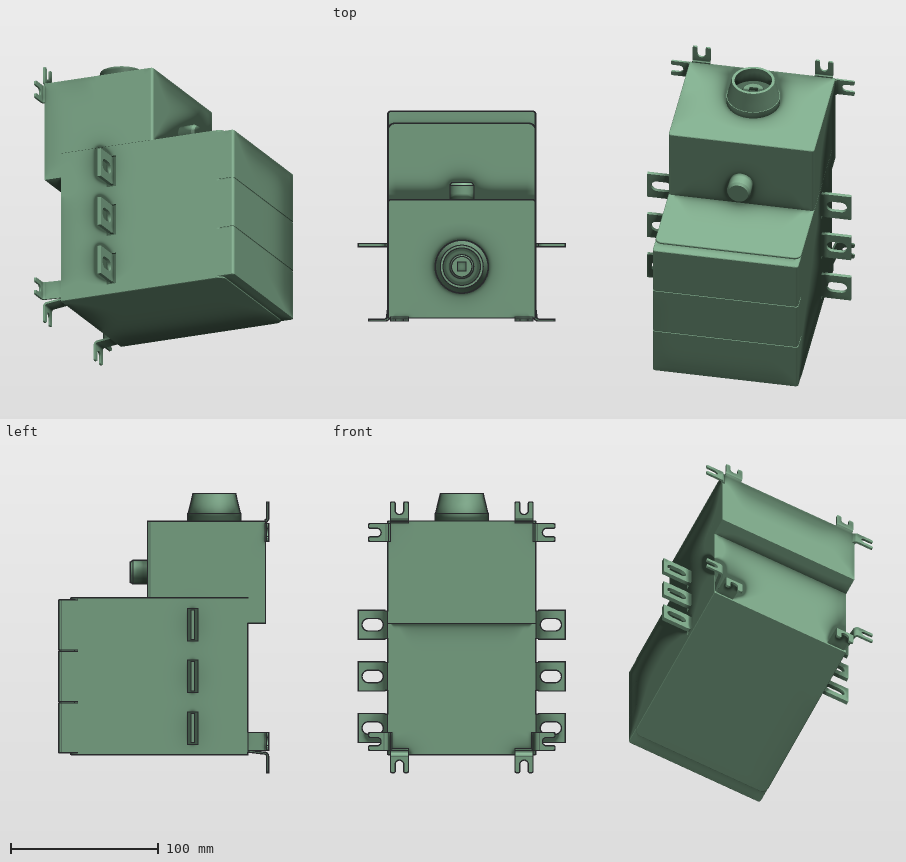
import cadquery as cq
import math

TOTAL_WIDTH = 140.0
TOTAL_DEPTH = 142.0
TOTAL_HEIGHT = 188.8

HALF_WIDTH = 50.0
BODY_BOTTOM = 12.0
BODY_TOP = 118.4
BODY_FRONT = 14.2
BODY_REAR = 133.9
BODY_CORNER_RADIUS = 4.7
UPPER_TOP = 170.3
UPPER_FRONT = 2.0
UPPER_REAR = 82.1
STEP_BOTTOM = 101.0
CORNER_RADIUS = 1.9
EDGE_BREAK = 0.4

POLE_PITCH = 35.0
MIDDLE_POLE_Z = 65.1
POLE_CENTERS = [MIDDLE_POLE_Z + i * POLE_PITCH for i in (-1, 0, 1)]
GROOVE_WIDTH = 1.0
GROOVE_DEPTH = 0.5
COVER_HEIGHT = 3 * POLE_PITCH - GROOVE_WIDTH
COVER_FRONT = 127.8

TERMINAL_Y = 51.4
TERMINAL_THICKNESS = 2.5
TERMINAL_HEIGHT = 19.8
NECK_HEIGHT = 18.9
NECK_LENGTH = 1.7
TERMINAL_SLOT_LENGTH = 14.2
TERMINAL_SLOT_WIDTH = 8.3
TERMINAL_SLOT_X = 60.2
RECESS_WIDTH = 7.0
RECESS_HEIGHT = 21.9
RECESS_DEPTH = 1.9

KNOB_Y = 36.8
KNOB_RADIUS = 18.1
CONE_BASE_RADIUS = 17.7
KNOB_TOP_RADIUS = 14.5
KNOB_RIM_HEIGHT = 5.1
BORE_RADIUS = 12.6
BORE_FLOOR = 175.5
SQUARE_SIZE = 6.0
SQUARE_DEPTH = 2.8

BOSS_RADIUS = 8.1
BOSS_CHAMFER = 1.23
BOSS_CHAMFER_LENGTH = 1.9
KNOB_BOSS_HEIGHT = 4.7
REAR_BOSS_Z = 135.5
REAR_BOSS_END = 93.6

SHEET = 1.42
BRACKET_WIDTH = 12.3
BRACKET_X = 42.1
UPPER_SIDE_Z = 162.4
LOWER_SIDE_Z = 21.1
SIDE_TIP_X = 63.0
UPPER_TIP_Z = 183.1
FORK_SLOT_WIDTH = 5.7
FORK_SLOT_LENGTH = 8.5
FORK_TIP_RADIUS = 1.1
FOOT = 1.23
UPPER_BEND_RADIUS = 1.9
UPPER_LEG_END = 2.6
LOWER_BEND_RADIUS = 3.0
LOWER_LEG_SLOPE = 1.3
SIDE_LEG_X = 49.5
UPPER_LEG_Z = 170.0
LOWER_LEG_Z = 14.0


def box(x0, x1, y0, y1, z0, z1):
    return cq.Workplane("XY").box(x1 - x0, y1 - y0, z1 - z0, centered=False).translate((x0, y0, z0))


def housing_block(y0, y1, z0, z1, corner_radius):
    """Full-width block with rounded vertical corners at the rear."""
    block = box(-HALF_WIDTH, HALF_WIDTH, y0, y1, z0, z1)
    return block.edges("|Z and >Y").fillet(corner_radius)


def break_edges(block, faces):
    """Chamfer the rim of the given faces, leaving its front edge sharp."""
    return block.faces(faces).edges("not <Y").chamfer(EDGE_BREAK)


def housing():
    body = housing_block(BODY_FRONT, BODY_REAR, BODY_BOTTOM, BODY_TOP, BODY_CORNER_RADIUS)
    body = break_edges(body, "<Z or >Z")
    upper = housing_block(UPPER_FRONT, UPPER_REAR, BODY_TOP, UPPER_TOP, CORNER_RADIUS)
    upper = break_edges(upper, ">Z")
    step = box(-HALF_WIDTH, HALF_WIDTH, UPPER_FRONT, BODY_FRONT, STEP_BOTTOM, BODY_TOP)
    return body.union(upper).union(step).union(rear_cover())


def rim_groove(z0):
    """Shallow groove running around the sides and rear of the cover."""
    z1 = z0 + GROOVE_WIDTH
    core_half_width = HALF_WIDTH - GROOVE_DEPTH
    outer = box(-HALF_WIDTH, HALF_WIDTH, COVER_FRONT, TOTAL_DEPTH, z0, z1)
    core = box(-core_half_width, core_half_width, COVER_FRONT, TOTAL_DEPTH - GROOVE_DEPTH, z0, z1)
    return outer.cut(core.edges("|Z and >Y").fillet(CORNER_RADIUS - GROOVE_DEPTH))


def rear_cover():
    """Cover with rounded rear corners and a groove between neighbouring poles."""
    z0 = MIDDLE_POLE_Z - COVER_HEIGHT / 2
    cover = housing_block(COVER_FRONT, TOTAL_DEPTH, z0, z0 + COVER_HEIGHT, CORNER_RADIUS)
    cover = break_edges(cover, "<Z or >Z")
    for side in (-1, 1):
        groove_z = MIDDLE_POLE_Z + side * POLE_PITCH / 2 - GROOVE_WIDTH / 2
        cover = cover.cut(rim_groove(groove_z))
    return cover


def terminal_recess(side, z):
    size = (2 * RECESS_DEPTH, RECESS_WIDTH, RECESS_HEIGHT)
    return cq.Workplane("XY").box(*size).translate((side * HALF_WIDTH, TERMINAL_Y, z))


def terminal(side, z):
    """Flat lug with a slightly lower neck at the housing wall and an elongated hole."""
    root = HALF_WIDTH - 2 * RECESS_DEPTH
    shoulder = HALF_WIDTH + NECK_LENGTH
    tip = TOTAL_WIDTH / 2
    y0 = TERMINAL_Y - TERMINAL_THICKNESS / 2
    y1 = y0 + TERMINAL_THICKNESS
    neck = box(root, shoulder, y0, y1, -NECK_HEIGHT / 2, NECK_HEIGHT / 2)
    plate = box(shoulder, tip, y0, y1, -TERMINAL_HEIGHT / 2, TERMINAL_HEIGHT / 2)
    hole = (
        cq.Workplane("XZ", origin=(TERMINAL_SLOT_X, y1, 0))
        .slot2D(TERMINAL_SLOT_LENGTH, TERMINAL_SLOT_WIDTH)
        .extrude(TERMINAL_THICKNESS)
    )
    lug = neck.union(plate).cut(hole)
    if side < 0:
        lug = lug.mirror("YZ")
    return lug.translate((0, 0, z))


def boss(height):
    """Round boss along +Z with a chamfered end."""
    cylinder = cq.Workplane("XY").circle(BOSS_RADIUS).extrude(height)
    return cylinder.faces(">Z").chamfer(BOSS_CHAMFER_LENGTH, BOSS_CHAMFER)


def knob():
    """Hollow conical knob with a square-socketed drive boss on its floor."""
    rim_top = UPPER_TOP + KNOB_RIM_HEIGHT
    wall_slope = (CONE_BASE_RADIUS - KNOB_TOP_RADIUS) / (TOTAL_HEIGHT - rim_top)
    floor_radius = BORE_RADIUS + wall_slope * (TOTAL_HEIGHT - BORE_FLOOR)
    shell = (
        cq.Workplane("XZ")
        .moveTo(0, UPPER_TOP)
        .lineTo(KNOB_RADIUS, UPPER_TOP)
        .lineTo(KNOB_RADIUS, rim_top)
        .lineTo(CONE_BASE_RADIUS, rim_top)
        .lineTo(KNOB_TOP_RADIUS, TOTAL_HEIGHT)
        .lineTo(BORE_RADIUS, TOTAL_HEIGHT)
        .lineTo(floor_radius, BORE_FLOOR)
        .lineTo(0, BORE_FLOOR)
        .close()
        .revolve(360, (0, 0, 0), (0, 1, 0))
    )
    drive = (
        boss(KNOB_BOSS_HEIGHT)
        .faces(">Z")
        .workplane()
        .rect(SQUARE_SIZE, SQUARE_SIZE)
        .cutBlind(-SQUARE_DEPTH)
    )
    return shell.union(drive.translate((0, 0, BORE_FLOOR))).translate((0, KNOB_Y, 0))


def rear_boss():
    pin = boss(REAR_BOSS_END - UPPER_REAR)
    return pin.rotate((0, 0, 0), (1, 0, 0), -90).translate((0, UPPER_REAR, REAR_BOSS_Z))


def bracket(tab_length, bend_radius, wall, leg_end, slope):
    """Forked sheet bracket centred on Z = 0, with its tab pointing along +X.

    X = 0 is the inner face of the leg at the bend, Y = 0 the front of the tab. The leg runs
    along +Y to leg_end, drifting inward by slope, and flares out where it meets the wall.
    """
    inner_radius = bend_radius - SHEET
    diagonal = math.sqrt(0.5)
    flare_start = wall - FOOT
    flare_x = -slope * (flare_start - bend_radius) / (leg_end - bend_radius)
    profile = (
        cq.Workplane("XY")
        .moveTo(tab_length, 0)
        .lineTo(bend_radius, 0)
        .threePointArc((bend_radius * (1 - diagonal), bend_radius * (1 - diagonal)), (0, bend_radius))
        .lineTo(-slope, leg_end)
        .lineTo(SHEET - slope, leg_end)
        .lineTo(SHEET, bend_radius)
        .threePointArc(
            (bend_radius - inner_radius * diagonal, bend_radius - inner_radius * diagonal),
            (bend_radius, SHEET),
        )
        .lineTo(tab_length, SHEET)
        .close()
        .extrude(BRACKET_WIDTH / 2, both=True)
    )
    flare = (
        cq.Workplane("XY")
        .moveTo(flare_x, flare_start)
        .lineTo(flare_x - FOOT, wall)
        .lineTo(SHEET - slope, wall)
        .close()
        .extrude(BRACKET_WIDTH / 2, both=True)
    )
    slot = (
        cq.Workplane("XZ", origin=(tab_length, SHEET, 0))
        .slot2D(2 * FORK_SLOT_LENGTH, FORK_SLOT_WIDTH)
        .extrude(SHEET)
    )
    return profile.cut(slot).edges("|Y and >X").fillet(FORK_TIP_RADIUS).union(flare)


def upper_bracket(tab_length):
    return bracket(tab_length, UPPER_BEND_RADIUS, UPPER_FRONT, UPPER_LEG_END, 0)


def lower_bracket(tab_length):
    return bracket(tab_length, LOWER_BEND_RADIUS, BODY_FRONT, BODY_FRONT, LOWER_LEG_SLOPE)


def right_brackets():
    """The four brackets at the +X corners."""
    side_length = SIDE_TIP_X - SIDE_LEG_X
    origin, y_axis = (0, 0, 0), (0, 1, 0)
    return [
        upper_bracket(side_length).translate((SIDE_LEG_X, 0, UPPER_SIDE_Z)),
        lower_bracket(side_length).translate((SIDE_LEG_X, 0, LOWER_SIDE_Z)),
        upper_bracket(UPPER_TIP_Z - UPPER_LEG_Z).rotate(origin, y_axis, -90)
        .translate((BRACKET_X, 0, UPPER_LEG_Z)),
        lower_bracket(LOWER_LEG_Z).rotate(origin, y_axis, 90).translate((BRACKET_X, 0, LOWER_LEG_Z)),
    ]


result = housing().union(knob()).union(rear_boss())
for side in (-1, 1):
    for pole_z in POLE_CENTERS:
        result = result.cut(terminal_recess(side, pole_z)).union(terminal(side, pole_z))
for part in right_brackets():
    result = result.union(part).union(part.mirror("YZ"))